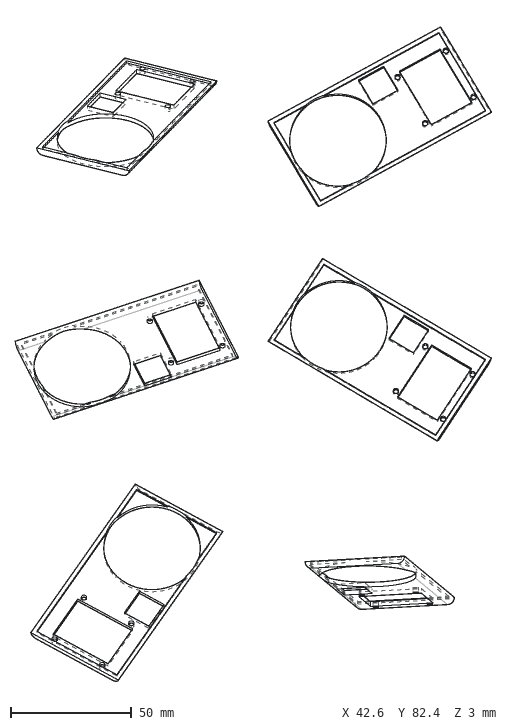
import cadquery as cq

width = 42.6
length = 82.4
height = 3.0
side_radius = height

rim_width = 1.8
recess_depth = 1.0

dial_diameter = 40.0
dial_y = -19.9

window_width = 26.7
window_length = 19.4
window_y = 26.7
screw_diameter = 2.2
screw_spacing = 23.1
screw_center_y = 26.6

button_size = 11.95
button_x = -12.45
button_y = 6.4


def make_body():
    """Plate with rounded long edges; its lower face is at Z = 0."""
    half_width = width / 2
    flat_half_width = half_width - side_radius
    arc_offset = side_radius * 0.5**0.5
    arc_mid_x = flat_half_width + arc_offset
    arc_mid_z = side_radius - arc_offset
    return (
        cq.Workplane("XZ")
        .moveTo(-half_width, height)
        .threePointArc((-arc_mid_x, arc_mid_z), (-flat_half_width, 0))
        .lineTo(flat_half_width, 0)
        .threePointArc((arc_mid_x, arc_mid_z), (half_width, height))
        .close()
        .extrude(length / 2, both=True)
    )


def make_recess():
    """Shallow rectangular pocket that leaves a rim of even width."""
    return (
        cq.Workplane("XY", origin=(0, 0, height - recess_depth))
        .rect(width - 2 * rim_width, length - 2 * rim_width)
        .extrude(recess_depth)
    )


def rectangular_opening(x, y, size_x, size_y):
    return cq.Workplane("XY").center(x, y).rect(size_x, size_y).extrude(height)


def make_dial_opening():
    return cq.Workplane("XY").center(0, dial_y).circle(dial_diameter / 2).extrude(height)


def make_screw_holes():
    """Four through holes on a square pattern."""
    return (
        cq.Workplane("XY")
        .center(0, screw_center_y)
        .rect(screw_spacing, screw_spacing, forConstruction=True)
        .vertices()
        .circle(screw_diameter / 2)
        .extrude(height)
    )


result = (
    make_body()
    .cut(make_recess())
    .cut(make_dial_opening())
    .cut(rectangular_opening(0, window_y, window_width, window_length))
    .cut(rectangular_opening(button_x, button_y, button_size, button_size))
    .cut(make_screw_holes())
)